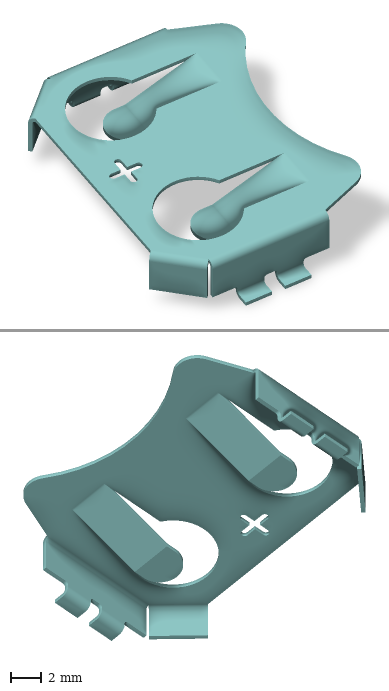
import cadquery as cq
import math

overall_width = 23.25
overall_height = 4.07
thickness = 0.3
bend_radius = 0.5
plate_half_width = 10.1
front_half_width = 7.4
wall_height = 3.11

side_wall_front = 2.85
side_wall_back = 11.95
foot_width = 2.05
foot_centers_y = (5.85, 8.92)
foot_bend_radius = 0.25
foot_root_radius = 0.25

horn_radius = 1.63
horn_x = 7.37
horn_tip_y = 16.13
notch_bottom_y = 13.73

tongue_x = 5.6
tongue_width = 3.15
tongue_root_y = 12.48
tongue_knee_y = 6.85
tongue_tip_y = 4.45
tongue_depth = 2.28
tongue_bend_radius = 0.6
window_radius = 3.05
window_y = 4.79

plus_length = 2.5
plus_width = 0.5
plus_y = 2.55


def plate():
    horn_y = horn_tip_y - horn_radius

    run_x = horn_x - plate_half_width
    run_y = horn_y - side_wall_back
    distance = math.hypot(run_x, run_y)
    flank_angle = math.atan2(run_y, run_x) - math.asin(horn_radius / distance)
    flank_x = horn_x + horn_radius * math.sin(flank_angle)
    flank_y = horn_y - horn_radius * math.cos(flank_angle)

    rise = horn_y - notch_bottom_y
    notch_radius = (horn_x**2 + rise**2 - horn_radius**2) / (2 * (horn_radius + rise))
    blend = horn_radius / (notch_radius + horn_radius)
    blend_x = horn_x * (1 - blend)
    blend_y = horn_y + blend * (notch_bottom_y + notch_radius - horn_y)

    return (
        cq.Workplane("XY")
        .moveTo(-front_half_width, 0)
        .lineTo(front_half_width, 0)
        .lineTo(plate_half_width, side_wall_front)
        .lineTo(plate_half_width, side_wall_back)
        .lineTo(flank_x, flank_y)
        .threePointArc((horn_x, horn_tip_y), (blend_x, blend_y))
        .threePointArc((0, notch_bottom_y), (-blend_x, blend_y))
        .threePointArc((-horn_x, horn_tip_y), (-flank_x, flank_y))
        .lineTo(-plate_half_width, side_wall_back)
        .lineTo(-plate_half_width, side_wall_front)
        .close()
        .extrude(-thickness)
    )


def folded_wall(length, foot_reach=0):
    """Wall folded down along the Y axis, facing +X, with an optional foot bent outward.

    The section starts one thickness inside the bend line so that it overlaps the plate.
    """
    outer = bend_radius
    inner = bend_radius - thickness
    section = (
        cq.Workplane("XZ")
        .moveTo(-thickness, 0)
        .lineTo(0, 0)
        .tangentArcPoint((outer, -bend_radius), relative=False)
    )
    if foot_reach:
        foot_top = thickness - overall_height
        bend_top = foot_top + foot_bend_radius
        bend_end = outer + foot_bend_radius
        section = (
            section.lineTo(outer, bend_top)
            .tangentArcPoint((bend_end, foot_top), relative=False)
            .lineTo(foot_reach, foot_top)
            .lineTo(foot_reach, -overall_height)
            .lineTo(bend_end, -overall_height)
            .tangentArcPoint((inner, bend_top), relative=False)
        )
    else:
        section = section.lineTo(outer, -wall_height).lineTo(inner, -wall_height)
    return (
        section.lineTo(inner, -bend_radius)
        .tangentArcPoint((0, -thickness), relative=False)
        .lineTo(-thickness, -thickness)
        .close()
        .extrude(-length)
    )


def foot_gap(start_y, end_y):
    """Cutter for the space beside the feet, with rounded upper corners."""
    gap_depth = overall_height
    return (
        cq.Workplane("XY")
        .box(overall_width, end_y - start_y, gap_depth, centered=(False, False, False))
        .translate((0, start_y, -wall_height - gap_depth))
        .edges("|X and >Z")
        .fillet(foot_root_radius)
    )


def side_wall():
    foot_reach = overall_width / 2 - plate_half_width
    wall = folded_wall(side_wall_back - side_wall_front, foot_reach)
    wall = wall.translate((plate_half_width, side_wall_front, 0))

    gap_start = side_wall_front - foot_width
    for foot_y in foot_centers_y:
        wall = wall.cut(foot_gap(gap_start, foot_y - foot_width / 2))
        gap_start = foot_y + foot_width / 2
    return wall.cut(foot_gap(gap_start, side_wall_back + foot_width))


def corner_wall():
    run_x = plate_half_width - front_half_width
    wall = folded_wall(math.hypot(run_x, side_wall_front))
    turn = -math.degrees(math.atan2(run_x, side_wall_front))
    return wall.rotate((0, 0, 0), (0, 0, 1), turn).translate((front_half_width, 0, 0))


def tongue_opening():
    slot = (
        cq.Workplane("XY")
        .center(tongue_x, (tongue_root_y + window_y) / 2)
        .rect(tongue_width, tongue_root_y - window_y)
        .extrude(-thickness)
    )
    window = cq.Workplane("XY").center(tongue_x, window_y).circle(window_radius).extrude(-thickness)
    return slot.union(window)


def tongue():
    level_top = thickness - tongue_depth

    center_z = -tongue_bend_radius
    run = tongue_root_y - tongue_knee_y
    drop = center_z - level_top
    slope = math.asin(tongue_bend_radius / math.hypot(run, drop)) + math.atan2(drop, run)
    inner_radius = tongue_bend_radius - thickness

    def bend_point(radius, angle):
        return tongue_root_y - radius * math.sin(angle), center_z + radius * math.cos(angle)

    knee_bottom_y = tongue_knee_y - thickness * math.tan(slope / 2)
    strip = (
        cq.Workplane("YZ")
        .moveTo(tongue_root_y + thickness, 0)
        .lineTo(tongue_root_y, 0)
        .threePointArc(bend_point(tongue_bend_radius, slope / 2), bend_point(tongue_bend_radius, slope))
        .lineTo(tongue_knee_y, level_top)
        .lineTo(tongue_tip_y, level_top)
        .lineTo(tongue_tip_y, -tongue_depth)
        .lineTo(knee_bottom_y, -tongue_depth)
        .lineTo(*bend_point(inner_radius, slope))
        .threePointArc(bend_point(inner_radius, slope / 2), bend_point(inner_radius, 0))
        .lineTo(tongue_root_y + thickness, -thickness)
        .close()
        .extrude(tongue_width / 2, both=True)
        .translate((tongue_x, 0, 0))
    )

    capsule_back_y = tongue_root_y + tongue_width
    capsule = (
        cq.Workplane("XY")
        .center(tongue_x, (capsule_back_y + tongue_tip_y) / 2)
        .slot2D(capsule_back_y - tongue_tip_y, tongue_width, 90)
        .extrude(-tongue_depth)
    )
    return strip.intersect(capsule)


def plus_cutout():
    def arm(angle):
        return cq.Workplane("XY").center(0, plus_y).slot2D(plus_length, plus_width, angle).extrude(-thickness)

    return arm(0).union(arm(90))


def both_sides(half):
    return half.union(half.mirror("YZ"))


result = plate().cut(both_sides(tongue_opening())).cut(plus_cutout())
for feature in (side_wall(), corner_wall(), tongue()):
    result = result.union(both_sides(feature))